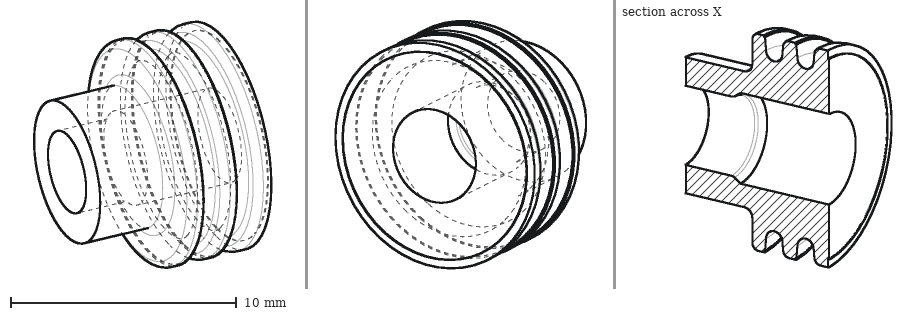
import cadquery as cq
import math

total_length = 7.57
collar_length = 3.5
collar_radius = 6.5 / 2
collar_fillet = 0.4

rib_count = 3
rib_pitch = 1.65
rib_radius = 10.35 / 2
rib_width = 0.65
rim_fillet = 0.35

shoulder_height = 0.05
groove_shoulder_radius = 10.2 / 2
back_shoulder_radius = 9.55 / 2

groove_edge_radius = 8.95 / 2
wall_draft = math.radians(5)

bore_radius = 3.75 / 2
bore_length = 2.43
lip_radius = 0.27
mouth_angle = math.radians(35)
chamber_radius = 2.15


def point_on_circle(center, radius, angle):
    """Point on a circle of the XY plane, the angle counted from +X toward +Y."""
    return (center[0] + radius * math.cos(angle), center[1] + radius * math.sin(angle))


def draft_rise(outer_radius, inner_radius):
    """Distance along Y that a drafted groove wall covers between two radii."""
    return (outer_radius - inner_radius) * math.tan(wall_draft)


def add_rim(outline, face_y, draft):
    """Add a rib's front rim, tangent to a front face that lies at face_y at the arc's centre radius."""
    center = (rib_radius - rim_fillet, face_y + rim_fillet / math.cos(draft))
    start_angle = draft - math.pi / 2
    return outline.lineTo(*point_on_circle(center, rim_fillet, start_angle)).threePointArc(
        point_on_circle(center, rim_fillet, start_angle / 2),
        point_on_circle(center, rim_fillet, 0),
    )


def add_groove(outline, rib_front):
    """Add the back of the rib that starts at rib_front, the groove behind it and the next rim."""
    rib_back = rib_front + rib_width
    front_wall_y = rib_back + shoulder_height
    next_rib_front = rib_front + rib_pitch
    arc_start_y = front_wall_y + draft_rise(groove_shoulder_radius, groove_edge_radius)
    arc_end_y = next_rib_front - draft_rise(rib_radius, groove_edge_radius)
    groove_radius = (arc_end_y - arc_start_y) / 2
    outline = (
        outline.lineTo(rib_radius, rib_back)
        .lineTo(groove_shoulder_radius, rib_back)
        .lineTo(groove_shoulder_radius, front_wall_y)
        .lineTo(groove_edge_radius, arc_start_y)
        .threePointArc(
            (groove_edge_radius - groove_radius, arc_start_y + groove_radius),
            (groove_edge_radius, arc_end_y),
        )
    )
    next_face_y = next_rib_front - draft_rise(rib_radius, rib_radius - rim_fillet)
    return add_rim(outline, next_face_y, wall_draft)


def add_collar(outline):
    """Add the front collar and the fillet at its root."""
    center = (collar_radius + collar_fillet, collar_length - collar_fillet)
    return (
        outline.lineTo(collar_radius, 0)
        .lineTo(collar_radius, center[1])
        .threePointArc(
            point_on_circle(center, collar_fillet, 3 * math.pi / 4),
            point_on_circle(center, collar_fillet, math.pi / 2),
        )
    )


def add_back_face(outline):
    """Add the back rib's outer edge and the raised shoulder on its back face."""
    shoulder_y = total_length - shoulder_height
    return (
        outline.lineTo(rib_radius, shoulder_y)
        .lineTo(back_shoulder_radius, shoulder_y)
        .lineTo(back_shoulder_radius, total_length)
    )


def add_chamber(outline):
    """Add the back chamber, its conical mouth and the rounded lip that leads into the bore."""
    lip_center = (bore_radius + lip_radius, bore_length)
    lip_end = point_on_circle(lip_center, lip_radius, math.pi - mouth_angle)
    mouth_length = (chamber_radius - lip_end[0]) / math.tan(mouth_angle)
    return (
        outline.lineTo(chamber_radius, total_length)
        .lineTo(chamber_radius, lip_end[1] + mouth_length)
        .lineTo(*lip_end)
        .threePointArc(
            point_on_circle(lip_center, lip_radius, math.pi - mouth_angle / 2),
            (bore_radius, bore_length),
        )
    )


profile = cq.Workplane("XY").moveTo(bore_radius, 0)
profile = add_collar(profile)
profile = add_rim(profile, collar_length, 0)
for rib in range(rib_count - 1):
    profile = add_groove(profile, collar_length + rib * rib_pitch)
profile = add_back_face(profile)
profile = add_chamber(profile)

result = profile.close().revolve(360, (0, 0, 0), (0, 1, 0))